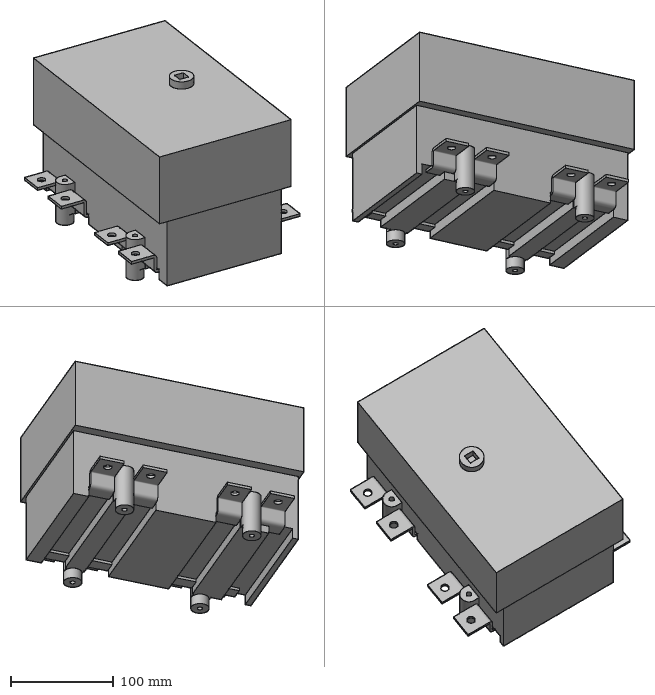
import cadquery as cq

TERMINAL_PITCH = 45.0
PAIR_PITCH = 133.0
PAIR_CENTRES = (-PAIR_PITCH / 2, PAIR_PITCH / 2)
SIDES = (-1, 1)

BASE_LENGTH = 235.0
BASE_WIDTH = 130.0
BASE_HEIGHT = 72.5
COVER_LENGTH = 239.0
COVER_WIDTH = 150.0
COVER_HEIGHT = 74.0
COVER_TOP = BASE_HEIGHT + COVER_HEIGHT

BOSS_DIAMETER = 24.0
BOSS_HEIGHT = 8.0
BOSS_Y = 22.0
SOCKET_SIDE = 10.0
SOCKET_DEPTH = BOSS_HEIGHT

PILLAR_DIAMETER = 18.0
PILLAR_Y = 71.0
PILLAR_BOTTOM = -11.0
PILLAR_TOP = 34.25
PILLAR_HEIGHT = PILLAR_TOP - PILLAR_BOTTOM
PILLAR_HOLE_DIAMETER = 5.0

TERMINAL_WIDTH = 25.0
THICKNESS = 3.0
INNER_BEND = 1.0
OUTER_BEND = INNER_BEND + THICKNESS
TERMINAL_BOTTOM = 8.0
TERMINAL_TOP = 28.25
TAB_END_Y = 96.0
LEG_OUTER_Y = 70.25
LEG_INNER_Y = LEG_OUTER_Y - THICKNESS
INSERTION = 10.0
FOOT_END_Y = BASE_WIDTH / 2 - INSERTION
TAB_HOLE_DIAMETER = 8.0
TAB_HOLE_FROM_END = 12.0

SLOT_HEIGHT = TERMINAL_BOTTOM + THICKNESS
FIRST_SLOT_OFFSET = -10.0

terminal_centres = [
    pair + side * TERMINAL_PITCH / 2 for pair in PAIR_CENTRES for side in SIDES
]


def block(length, width, height, x, y, bottom):
    """Box centred on (x, y) and standing on the level `bottom`."""
    box = cq.Workplane("XY").box(length, width, height, centered=(True, True, False))
    return box.translate((x, y, bottom))


def cylinder(diameter, height, x, y, bottom):
    """Upright cylinder on the level `bottom`."""
    return cq.Workplane("XY").circle(diameter / 2).extrude(height).translate((x, y, bottom))


def make_pillar(x, side):
    """Round pillar with a web that reaches from its axis to the base wall."""
    wall_y = BASE_WIDTH / 2
    web_y = side * (wall_y + PILLAR_Y) / 2
    pillar = cylinder(PILLAR_DIAMETER, PILLAR_HEIGHT, x, side * PILLAR_Y, PILLAR_BOTTOM)
    return pillar.union(block(PILLAR_DIAMETER, PILLAR_Y - wall_y, PILLAR_TOP, x, web_y, 0))


def make_housing():
    """Base, cover, drive boss and pillars, with the slots, holes and foot recesses cut."""
    housing = block(BASE_LENGTH, BASE_WIDTH, BASE_HEIGHT, 0, 0, 0)
    housing = housing.union(block(COVER_LENGTH, COVER_WIDTH, COVER_HEIGHT, 0, 0, BASE_HEIGHT))

    housing = housing.union(cylinder(BOSS_DIAMETER, BOSS_HEIGHT, 0, BOSS_Y, COVER_TOP))
    socket_bottom = COVER_TOP + BOSS_HEIGHT - SOCKET_DEPTH
    housing = housing.cut(block(SOCKET_SIDE, SOCKET_SIDE, SOCKET_DEPTH, 0, BOSS_Y, socket_bottom))

    for index, x in enumerate(terminal_centres):
        slot_x = x + FIRST_SLOT_OFFSET if index == 0 else x
        housing = housing.cut(block(TERMINAL_WIDTH, BASE_WIDTH, SLOT_HEIGHT, slot_x, 0, 0))

    for side in SIDES:
        foot_y = side * (BASE_WIDTH - INSERTION) / 2
        housing = housing.cut(
            block(TERMINAL_WIDTH, INSERTION, THICKNESS, terminal_centres[0], foot_y, TERMINAL_BOTTOM)
        )

    for x in PAIR_CENTRES:
        for side in SIDES:
            housing = housing.union(make_pillar(x, side))
            housing = housing.cut(
                cylinder(PILLAR_HOLE_DIAMETER, PILLAR_HEIGHT, x, side * PILLAR_Y, PILLAR_BOTTOM)
            )
    return housing


def make_terminal(x, side):
    """Z-shaped strip: foot in the base, upright leg, and a drilled tab pointing outward."""
    foot_top = TERMINAL_BOTTOM + THICKNESS
    tab_bottom = TERMINAL_TOP - THICKNESS
    lower_bend_y = LEG_OUTER_Y - OUTER_BEND
    upper_bend_y = LEG_INNER_Y + OUTER_BEND
    strip = (
        cq.Workplane("YZ")
        .moveTo(FOOT_END_Y, TERMINAL_BOTTOM)
        .lineTo(lower_bend_y, TERMINAL_BOTTOM)
        .radiusArc((LEG_OUTER_Y, TERMINAL_BOTTOM + OUTER_BEND), -OUTER_BEND)
        .lineTo(LEG_OUTER_Y, tab_bottom - INNER_BEND)
        .radiusArc((upper_bend_y, tab_bottom), INNER_BEND)
        .lineTo(TAB_END_Y, tab_bottom)
        .lineTo(TAB_END_Y, TERMINAL_TOP)
        .lineTo(upper_bend_y, TERMINAL_TOP)
        .radiusArc((LEG_INNER_Y, TERMINAL_TOP - OUTER_BEND), -OUTER_BEND)
        .lineTo(LEG_INNER_Y, foot_top + INNER_BEND)
        .radiusArc((lower_bend_y, foot_top), INNER_BEND)
        .lineTo(FOOT_END_Y, foot_top)
        .close()
        .extrude(TERMINAL_WIDTH / 2, both=True)
    )
    hole_y = TAB_END_Y - TAB_HOLE_FROM_END
    strip = strip.cut(cylinder(TAB_HOLE_DIAMETER, THICKNESS, 0, hole_y, tab_bottom))
    if side < 0:
        strip = strip.mirror("XZ")
    return strip.translate((x, 0, 0))


housing = make_housing()
terminals = [make_terminal(x, side) for x in terminal_centres for side in SIDES]

result = cq.Compound.makeCompound([housing.val(), *[terminal.val() for terminal in terminals]])